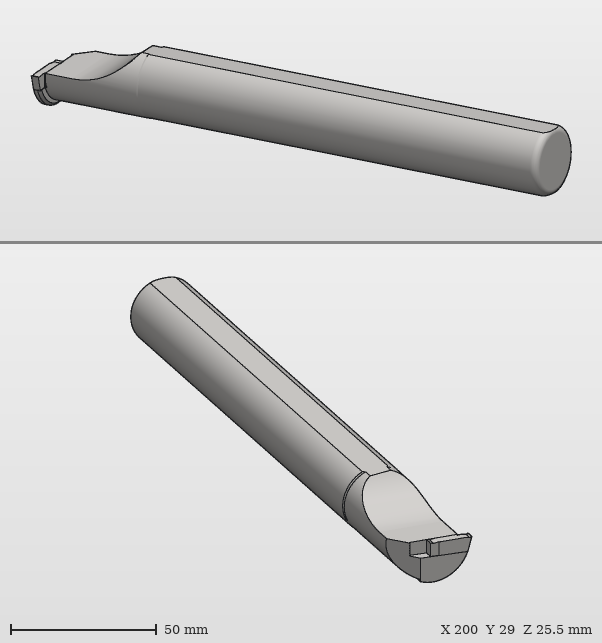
import cadquery as cq
import math

LENGTH = 200.0
TOTAL_WIDTH = 29.0
TOTAL_HEIGHT = 25.5
SHANK_DIAMETER = 25.0
SHANK_RADIUS = SHANK_DIAMETER / 2
FLAT_SPACING = 23.0
FLAT_HEIGHT = FLAT_SPACING / 2
END_FILLET = 2.5

NECK_END = 39.8
NECK_RADIUS = 12.5
NECK_OFFSET = 0.2
NECK_TAPER = 0.5

EDGE_Y = SHANK_RADIUS - TOTAL_WIDTH
RAKE_ANGLE = 4.0
RUNOUT_START = 14.0
RUNOUT_RADIUS = 30.0

CHAMFER_TOP_Y = 12.5
CHAMFER_SIZE = 9.0

BLADE_RADIUS = 13.5
BLADE_Y = -2.5
BLADE_BOTTOM = FLAT_HEIGHT - TOTAL_HEIGHT
BLADE_THICKNESS = 1.5
BLADE_FLARE = 1.0

SEAT_DEPTH = 3.2
SEAT_BACK_Y = 6.0
SEAT_FLOOR_Z = -4.0
SEAT_ANGLE = 5.5
INSERT_BACK_Y = -0.5
INSERT_STEP_Y = -3.8
INSERT_STEP = 0.2
INSERT_TIP_WIDTH = 2.8
INSERT_HEEL_Y = -15.0
SHOULDER_Y = -12.5
REAR_DIP_Y = -1.8
TIP_DIP_START_Y = -13.8
TIP_DIP_Y = -15.5
DIP_DEPTH = 0.3

MARGIN = 20.0


def rake_z(y):
    return (y - EDGE_Y) * math.tan(math.radians(RAKE_ANGLE))


def seat_z(y):
    return SEAT_FLOOR_Z + y * math.tan(math.radians(SEAT_ANGLE))


def x_cylinder(radius, start, end, y=0, z=0):
    return cq.Workplane("YZ", origin=(start, y, z)).circle(radius).extrude(end - start)


def make_shank():
    bar = x_cylinder(SHANK_RADIUS, NECK_END + NECK_TAPER, LENGTH).faces(">X").edges().fillet(END_FILLET)
    slab = cq.Workplane("XY").box(2 * LENGTH, 2 * LENGTH, 2 * FLAT_HEIGHT)
    return bar.intersect(slab)


def make_neck():
    neck = x_cylinder(NECK_RADIUS, 0, NECK_END, -NECK_OFFSET, -NECK_OFFSET)
    above_flat = cq.Workplane("XY", origin=(0, 0, FLAT_HEIGHT)).rect(2 * LENGTH, 2 * LENGTH).extrude(MARGIN)
    return neck.cut(above_flat)


def make_neck_taper():
    """Short cone between the neck and the shank, trimmed by the flats."""
    cone = (
        cq.Workplane("YZ", origin=(NECK_END, -NECK_OFFSET, -NECK_OFFSET))
        .circle(NECK_RADIUS)
        .workplane(offset=NECK_TAPER)
        .center(NECK_OFFSET, NECK_OFFSET)
        .circle(SHANK_RADIUS)
        .loft()
    )
    slab = cq.Workplane("XY").box(2 * LENGTH, 2 * LENGTH, 2 * FLAT_HEIGHT)
    return cone.intersect(slab)


def make_blade():
    """Disc with a conical back that stands out below the neck."""
    blade_z = BLADE_BOTTOM + BLADE_RADIUS
    disc = x_cylinder(BLADE_RADIUS, 0, BLADE_THICKNESS, BLADE_Y, blade_z)
    flare = (
        cq.Workplane("YZ", origin=(BLADE_THICKNESS, BLADE_Y, blade_z))
        .circle(BLADE_RADIUS)
        .extrude(BLADE_FLARE, taper=45)
    )
    below_seat = (
        cq.Workplane("YZ")
        .moveTo(-MARGIN, seat_z(-MARGIN))
        .lineTo(CHAMFER_TOP_Y - CHAMFER_SIZE, seat_z(CHAMFER_TOP_Y - CHAMFER_SIZE))
        .lineTo(CHAMFER_TOP_Y - CHAMFER_SIZE, -MARGIN)
        .lineTo(-MARGIN, -MARGIN)
        .close()
        .extrude(MARGIN)
    )
    return disc.union(flare).intersect(below_seat)


def make_runout_cutter():
    """Flat rake face blending tangentially into an arc that rises out of the bar."""
    half = RUNOUT_RADIUS * math.sin(math.radians(45))
    return (
        cq.Workplane("XZ", origin=(0, 2 * MARGIN, 0))
        .moveTo(-MARGIN, 0)
        .lineTo(RUNOUT_START, 0)
        .threePointArc(
            (RUNOUT_START + half, RUNOUT_RADIUS - half),
            (RUNOUT_START + RUNOUT_RADIUS, RUNOUT_RADIUS),
        )
        .lineTo(-MARGIN, RUNOUT_RADIUS)
        .close()
        .extrude(4 * MARGIN)
        .rotate((0, EDGE_Y, 0), (1, EDGE_Y, 0), RAKE_ANGLE)
    )


def make_chamfer_cutter():
    reach = CHAMFER_SIZE + MARGIN
    return (
        cq.Workplane("XY", origin=(0, 0, -MARGIN))
        .moveTo(CHAMFER_SIZE - reach, CHAMFER_TOP_Y - reach)
        .lineTo(CHAMFER_SIZE + MARGIN, CHAMFER_TOP_Y + MARGIN)
        .lineTo(CHAMFER_SIZE - reach, CHAMFER_TOP_Y + MARGIN)
        .close()
        .extrude(2 * MARGIN)
    )


def make_seat_cutter():
    """Open pocket in the nose, with a sloping floor."""
    return (
        cq.Workplane("YZ")
        .moveTo(SEAT_BACK_Y, seat_z(SEAT_BACK_Y))
        .lineTo(SEAT_BACK_Y, MARGIN)
        .lineTo(-MARGIN, MARGIN)
        .lineTo(-MARGIN, seat_z(-MARGIN))
        .close()
        .extrude(SEAT_DEPTH)
    )


def make_holder():
    holder = make_shank().union(make_neck()).union(make_neck_taper()).union(make_blade())
    return holder.cut(make_runout_cutter()).cut(make_chamfer_cutter()).cut(make_seat_cutter())


def make_insert():
    """Cutting insert lying on the seat floor, with shallow dips in its rake face."""
    top = [
        (INSERT_BACK_Y, rake_z(INSERT_BACK_Y)),
        (REAR_DIP_Y, rake_z(REAR_DIP_Y) - DIP_DEPTH),
        (INSERT_STEP_Y, rake_z(INSERT_STEP_Y)),
        (TIP_DIP_START_Y, rake_z(TIP_DIP_START_Y)),
        (TIP_DIP_Y, rake_z(TIP_DIP_Y) - DIP_DEPTH),
        (EDGE_Y, rake_z(EDGE_Y)),
    ]
    bottom = [
        (INSERT_HEEL_Y, seat_z(INSERT_HEEL_Y)),
        (INSERT_BACK_Y, seat_z(INSERT_BACK_Y)),
    ]
    insert = cq.Workplane("YZ").polyline(top + bottom).close().extrude(SEAT_DEPTH)
    rear_step = (
        cq.Workplane("XY", origin=(0, INSERT_STEP_Y, -MARGIN))
        .rect(INSERT_STEP, MARGIN, centered=False)
        .extrude(2 * MARGIN)
    )
    tip_relief = (
        cq.Workplane("XY", origin=(INSERT_TIP_WIDTH, SHOULDER_Y - MARGIN, -MARGIN))
        .rect(MARGIN, MARGIN, centered=False)
        .extrude(2 * MARGIN)
    )
    return insert.cut(rear_step).cut(tip_relief)


holder = make_holder()
insert = make_insert()
result = cq.Compound.makeCompound([holder.solids().val(), insert.solids().val()])